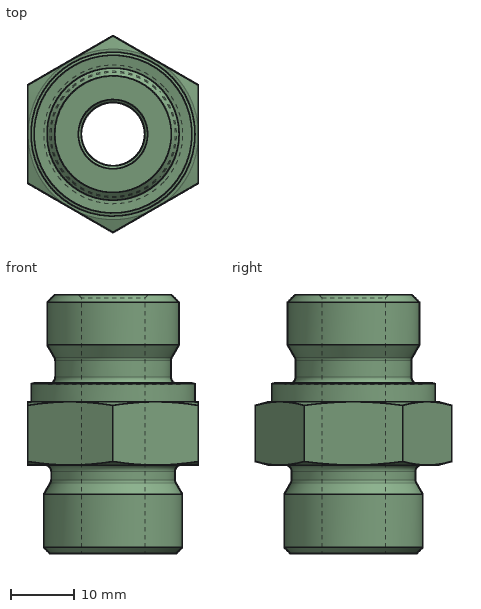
import cadquery as cq
import math

TOTAL_HEIGHT = 41.0
HEX_BOTTOM = 14.02
HEX_TOP = 24.03
COLLAR_TOP = 27.0

HEX_ACROSS_FLATS = 27.0
HEX_CHAMFER_ANGLE = 15.0
COLLAR_RADIUS = 26.0 / 2
COLLAR_BEVEL_WIDTH = 0.5
COLLAR_BEVEL_HEIGHT = 0.12
COLLAR_DISH_ANGLE = 6.0

COLLAR_DISH_RADIUS = COLLAR_RADIUS - COLLAR_BEVEL_WIDTH
COLLAR_DISH_DEPTH = COLLAR_DISH_RADIUS * math.tan(math.radians(COLLAR_DISH_ANGLE))

LOWER_RADIUS = 22.0 / 2
LOWER_NECK_RADIUS = 19.7 / 2
LOWER_CHAMFER = 1.0
LOWER_BODY_END = 9.4
LOWER_ROOT_FILLET = 1.0

UPPER_RADIUS = 20.95 / 2
UPPER_NECK_RADIUS = 18.4 / 2
UPPER_CHAMFER = 1.25
UPPER_BODY_END = 33.05
UPPER_ROOT_FILLET = 1.2

UNDERCUT_ANGLE = 30.0
UNDERCUT_FILLET = 1.0

BORE_RADIUS = 10.0 / 2
BORE_CHAMFER = 0.5


def make_stud(radius, neck_radius, chamfer, body_length, root_fillet, apex, dish_angle):
    """Turned stud with its end at z = 0 and its filleted neck meeting a shoulder above.

    The shoulder is a cone of the given dish angle that reaches the axis at z = apex.
    A dish angle of zero makes it flat.
    """
    angle = math.radians(UNDERCUT_ANGLE)
    fillet = UNDERCUT_FILLET
    corner_radius = neck_radius + fillet * (1 - math.cos(angle))
    corner_start = body_length + (radius - corner_radius) / math.tan(angle)
    corner_end = corner_start + fillet * math.sin(angle)
    corner_mid_radius = neck_radius + fillet * (1 - math.cos(angle / 2))
    corner_mid = corner_end - fillet * math.sin(angle / 2)
    dish = math.radians(dish_angle)
    root_center_radius = neck_radius + root_fillet
    root_start = apex - root_center_radius * math.tan(dish) - root_fillet / math.cos(dish)
    half_sweep = (math.pi / 2 + dish) / 2
    root_mid_radius = root_center_radius - root_fillet * math.cos(half_sweep)
    root_mid = root_start + root_fillet * math.sin(half_sweep)
    root_end_radius = root_center_radius + root_fillet * math.sin(dish)
    root_end = root_start + root_fillet * math.cos(dish)
    return (
        cq.Workplane("XZ")
        .moveTo(0, 0)
        .lineTo(radius - chamfer, 0)
        .lineTo(radius, chamfer)
        .lineTo(radius, body_length)
        .lineTo(corner_radius, corner_start)
        .threePointArc((corner_mid_radius, corner_mid), (neck_radius, corner_end))
        .lineTo(neck_radius, root_start)
        .threePointArc((root_mid_radius, root_mid), (root_end_radius, root_end))
        .lineTo(0, apex)
        .close()
        .revolve(360, (0, 0), (0, 1))
    )


def make_hexagon():
    """Hexagon with corners on the Y axis, its corners trimmed by a cone at both ends."""
    corner_radius = HEX_ACROSS_FLATS / math.sqrt(3)
    face_radius = HEX_ACROSS_FLATS / 2
    drop = (corner_radius - face_radius) * math.tan(math.radians(HEX_CHAMFER_ANGLE))
    prism = (
        cq.Workplane("XY", origin=(0, 0, HEX_BOTTOM))
        .polygon(6, 2 * corner_radius)
        .extrude(HEX_TOP - HEX_BOTTOM)
        .rotate((0, 0, 0), (0, 0, 1), 30)
    )
    envelope = (
        cq.Workplane("XZ")
        .polyline([
            (0, HEX_BOTTOM),
            (face_radius, HEX_BOTTOM),
            (corner_radius, HEX_BOTTOM + drop),
            (corner_radius, HEX_TOP - drop),
            (face_radius, HEX_TOP),
            (0, HEX_TOP),
        ])
        .close()
        .revolve(360, (0, 0), (0, 1))
    )
    return prism.intersect(envelope)


def make_collar():
    """Round collar on the hexagon with a dished top and a shallow bevel around its rim."""
    return (
        cq.Workplane("XZ")
        .polyline([
            (0, HEX_TOP),
            (COLLAR_RADIUS, HEX_TOP),
            (COLLAR_RADIUS, COLLAR_TOP - COLLAR_BEVEL_HEIGHT),
            (COLLAR_DISH_RADIUS, COLLAR_TOP),
            (0, COLLAR_TOP - COLLAR_DISH_DEPTH),
        ])
        .close()
        .revolve(360, (0, 0), (0, 1))
    )


def make_bore():
    """Cutter for the through bore, chamfered at the top end."""
    return (
        cq.Workplane("XZ")
        .polyline([
            (0, 0),
            (BORE_RADIUS, 0),
            (BORE_RADIUS, TOTAL_HEIGHT - BORE_CHAMFER),
            (BORE_RADIUS + BORE_CHAMFER, TOTAL_HEIGHT),
            (0, TOTAL_HEIGHT),
        ])
        .close()
        .revolve(360, (0, 0), (0, 1))
    )


lower_stud = make_stud(
    LOWER_RADIUS,
    LOWER_NECK_RADIUS,
    LOWER_CHAMFER,
    LOWER_BODY_END,
    LOWER_ROOT_FILLET,
    apex=HEX_BOTTOM,
    dish_angle=0,
)
upper_stud = (
    make_stud(
        UPPER_RADIUS,
        UPPER_NECK_RADIUS,
        UPPER_CHAMFER,
        TOTAL_HEIGHT - UPPER_BODY_END,
        UPPER_ROOT_FILLET,
        apex=TOTAL_HEIGHT - COLLAR_TOP + COLLAR_DISH_DEPTH,
        dish_angle=COLLAR_DISH_ANGLE,
    )
    .rotate((0, 0, 0), (1, 0, 0), 180)
    .translate((0, 0, TOTAL_HEIGHT))
)

result = (
    make_hexagon()
    .union(make_collar())
    .union(lower_stud)
    .union(upper_stud)
    .cut(make_bore())
)